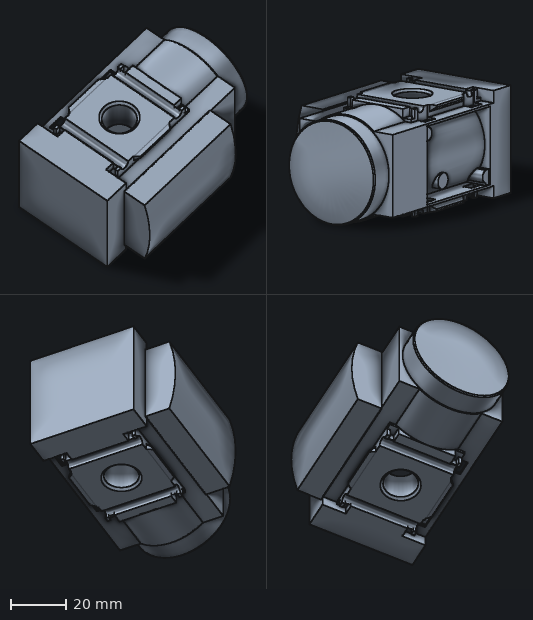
import cadquery as cq
import math


body_width = 42.0
body_height = 40.2
half_width = body_width / 2
half_height = body_height / 2
base_length = 10.5
ledge_z = 15.5
pad_end = 52.6
pad_width = 30.4
pad_half_width = pad_width / 2
pad_mid_y = (base_length + pad_end) / 2
neck_end = 71.5

knob_axis_x = 0.2
neck_radius = 20.0
knob_radius = 39.0 / 2
knob_shoulder_y = 79.75
dome_edge_y = 80.3
dome_edge_radius = 19.1
total_length = 82.0

cover_start = 9.4
cover_end = 57.5
cover_height = 32.3
cover_edge_x = 30.7
cover_crown_x = 33.2

groove_diameter = 4.0
groove_offset = 15.0
notch_width = 3.7
notch_length = 4.1
notch_floor_z = 16.6
peg_width = 1.3
peg_length = 1.9

port_mouth_diameter = 14.75
port_top_diameter = 12.8
port_bottom_diameter = 12.2
port_depth = 12.3
port_lead_in = (port_mouth_diameter - port_top_diameter) / 2

lug_reach = 1.9
lug_root_length = 19.8
lug_tip_length = 16.6
lug_root_bottom_z = 17.45
lug_tip_bottom_z = 18.9
lug_tip_top_z = 19.75

window_length = 38.0
window_half_height = 14.6
bowl_radius = 18.7
pin_diameter = 6.1
pin_y = 37.5
pin_z = -8.7
pin_face_x = -18.4
boss_diameter = 5.0
boss_face_x = -20.3
boss_z = 11.3
boss_offset_y = 17.8
boss_web_offset_y = 17.1

slot_outer_x = -18.6
slot_inner_x = -14.8
slot_length = 6.15
slot_offset_y = 13.9

EACH_SIDE = (-1, 1)


def box(x0, x1, y0, y1, z0, z1):
    """Box between opposite corners, given in any order."""
    size = (abs(x1 - x0), abs(y1 - y0), abs(z1 - z0))
    return cq.Workplane("XY").box(*size).translate(((x0 + x1) / 2, (y0 + y1) / 2, (z0 + z1) / 2))


def cylinder_along_x(diameter, x0, x1, y, z):
    return cq.Workplane("YZ", origin=(x0, y, z)).circle(diameter / 2).extrude(x1 - x0)


def cylinder_along_y(radius, y0, y1):
    """Cylinder on the knob axis."""
    return cq.Workplane("XZ", origin=(knob_axis_x, y0, 0)).circle(radius).extrude(y0 - y1)


def make_body():
    base = box(-half_width, half_width, 0, base_length, -half_height, half_height)
    core = box(-half_width, half_width, base_length, neck_end, -ledge_z, ledge_z)
    pads = box(-pad_half_width, pad_half_width, base_length, pad_end, -half_height, half_height)
    neck = cylinder_along_y(neck_radius, pad_end, neck_end)
    return base.union(core).union(pads).union(neck)


def make_knob():
    drop = total_length - dome_edge_y
    dome_radius = (dome_edge_radius**2 + drop**2) / (2 * drop)
    mid_angle = math.asin(dome_edge_radius / dome_radius) / 2
    mid_dome = (
        dome_radius * math.sin(mid_angle),
        total_length - dome_radius * (1 - math.cos(mid_angle)),
    )
    return (
        cq.Workplane("XY")
        .moveTo(0, neck_end)
        .lineTo(knob_radius, neck_end)
        .lineTo(knob_radius, knob_shoulder_y)
        .lineTo(dome_edge_radius, dome_edge_y)
        .threePointArc(mid_dome, (0, total_length))
        .close()
        .revolve(360, (0, 0, 0), (0, 1, 0))
        .translate((knob_axis_x, 0, 0))
    )


def make_cover():
    half = cover_height / 2
    return (
        cq.Workplane("XZ", origin=(0, cover_start, 0))
        .moveTo(half_width, -half)
        .lineTo(cover_edge_x, -half)
        .threePointArc((cover_crown_x, 0), (cover_edge_x, half))
        .lineTo(half_width, half)
        .close()
        .extrude(cover_start - cover_end)
    )


def cut_window(body):
    """Open the -X side around the bowl, leaving the pin and two corner bosses."""
    start = pad_mid_y - window_length / 2
    end = pad_mid_y + window_length / 2
    opening = box(-half_width, knob_axis_x, start, end, -window_half_height, window_half_height)
    opening = opening.cut(cylinder_along_y(bowl_radius, start, end))
    opening = opening.cut(cylinder_along_x(pin_diameter, pin_face_x, knob_axis_x, pin_y, pin_z))
    for side in EACH_SIDE:
        boss_y = pad_mid_y + side * boss_offset_y
        web_y = pad_mid_y + side * boss_web_offset_y
        window_y = pad_mid_y + side * window_length / 2
        inner_z = side * (boss_z - boss_diameter / 2)
        outer_z = side * window_half_height
        round_end = cylinder_along_x(boss_diameter, boss_face_x, knob_axis_x, boss_y, side * boss_z)
        web = box(boss_face_x, knob_axis_x, web_y, window_y, inner_z, outer_z)
        opening = opening.cut(round_end).cut(web)
    return body.cut(opening)


def cut_ledge_slots(body):
    """Openings from the window to the outside, notching the pad sides."""
    for end in EACH_SIDE:
        slot_y = pad_mid_y + end * slot_offset_y
        for side in EACH_SIDE:
            slot = box(
                slot_outer_x,
                slot_inner_x,
                slot_y - slot_length / 2,
                slot_y + slot_length / 2,
                side * window_half_height,
                side * half_height,
            )
            body = body.cut(slot)
    return body


def cut_grooves(body):
    for end in EACH_SIDE:
        for side in EACH_SIDE:
            groove_y = pad_mid_y + end * groove_offset
            body = body.cut(
                cylinder_along_x(
                    groove_diameter, -pad_half_width, pad_half_width, groove_y, side * half_height
                )
            )
    return body


def cut_corner_notches(body):
    """Notch each pad corner, leaving a peg at its outer inside edge."""
    pad_half_length = (pad_end - base_length) / 2
    notch_start = pad_half_length - notch_length
    for x_side in EACH_SIDE:
        outer_x = x_side * pad_half_width
        for end in EACH_SIDE:
            inner_y = pad_mid_y + end * notch_start
            outer_y = pad_mid_y + end * pad_half_length
            peg_y = inner_y + end * peg_length
            for side in EACH_SIDE:
                floor_z = side * notch_floor_z
                top_z = side * half_height
                notch = box(outer_x, outer_x - x_side * notch_width, inner_y, outer_y, floor_z, top_z)
                peg = box(outer_x, outer_x - x_side * peg_width, inner_y, peg_y, floor_z, top_z)
                body = body.cut(notch.cut(peg))
    return body


def make_upper_lug():
    """Lug on the +X side of the upper pad, tapering outwards."""
    root_height = half_height - lug_root_bottom_z
    tip_height = lug_tip_top_z - lug_tip_bottom_z
    root_mid_z = (half_height + lug_root_bottom_z) / 2
    tip_mid_z = (lug_tip_top_z + lug_tip_bottom_z) / 2
    return (
        cq.Workplane("YZ", origin=(pad_half_width, pad_mid_y, root_mid_z))
        .rect(lug_root_length, root_height)
        .workplane(offset=lug_reach)
        .center(0, tip_mid_z - root_mid_z)
        .rect(lug_tip_length, tip_height)
        .loft(ruled=True)
    )


def add_lugs(body):
    right_lug = make_upper_lug()
    for lug in (right_lug, right_lug.mirror("YZ")):
        body = body.union(lug).union(lug.mirror("XY"))
    return body


def cut_ports(body):
    port = (
        cq.Workplane("XZ")
        .moveTo(0, half_height)
        .lineTo(port_mouth_diameter / 2, half_height)
        .lineTo(port_top_diameter / 2, half_height - port_lead_in)
        .lineTo(port_bottom_diameter / 2, half_height - port_depth)
        .lineTo(0, half_height - port_depth)
        .close()
        .revolve(360, (0, 0, 0), (0, 1, 0))
        .translate((0, pad_mid_y, 0))
    )
    return body.cut(port).cut(port.mirror("XY"))


body = make_body()
body = cut_window(body)
body = cut_ledge_slots(body)
body = cut_grooves(body)
body = cut_corner_notches(body)
body = add_lugs(body)
body = cut_ports(body)
result = body.union(make_knob()).union(make_cover())